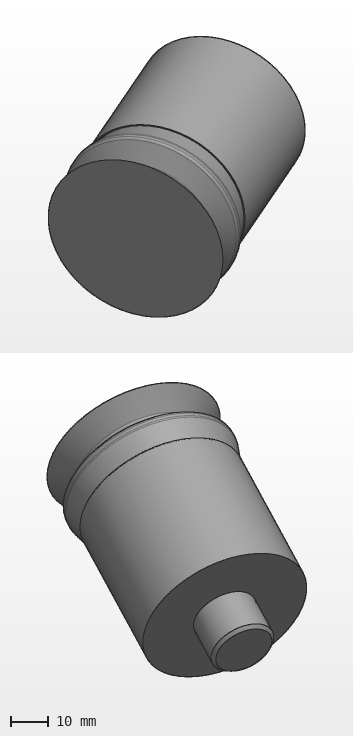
import cadquery as cq

total_length = 74.45

lip_radius = 50.0 / 2
neck_position = 6.25
neck_radius = lip_radius - neck_position
neck_fillet = 0.75
bulge_radius = lip_radius
bulge_start = 10.7
bulge_start_fillet = 1.05
bulge_end = 12.4
bulge_end_fillet = 2.0

body_radius = 47.3 / 2
body_start = 19.05
body_end = 61.6
bellows_end_radius = 23.3

stud_radius = 18.1 / 2
stud_chamfer = 1.0


def ring_edge(radius, position):
    """Select the circular edge of the given radius at a position along Y."""
    margin = 0.1
    reach = radius + margin
    return cq.selectors.BoxSelector(
        (-reach, position - margin, -reach),
        (reach, position + margin, reach),
        boundingbox=True,
    )


outline = [
    (0, 0),
    (lip_radius, 0),
    (neck_radius, neck_position),
    (bulge_radius, bulge_start),
    (bulge_radius, bulge_end),
    (bellows_end_radius, body_start),
    (body_radius, body_start),
    (body_radius, body_end),
    (stud_radius, body_end),
    (stud_radius, total_length),
    (0, total_length),
]
result = cq.Workplane("XY").polyline(outline).close().revolve(360, (0, 0, 0), (0, 1, 0))

for radius, position, fillet in [
    (neck_radius, neck_position, neck_fillet),
    (bulge_radius, bulge_start, bulge_start_fillet),
    (bulge_radius, bulge_end, bulge_end_fillet),
]:
    result = result.edges(ring_edge(radius, position)).fillet(fillet)

result = result.faces(">Y").edges().chamfer(stud_chamfer)